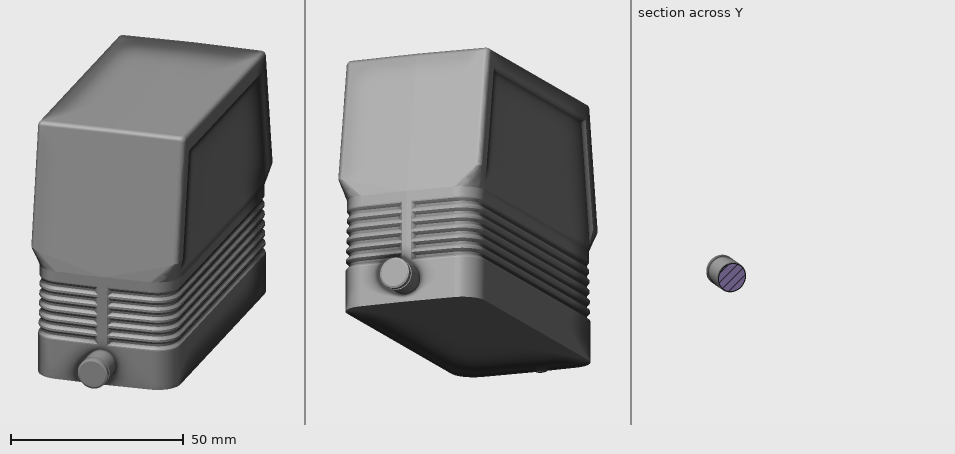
import cadquery as cq
import math

base_half_width = 21.5
base_half_length = 46.7
corner_radius = 6.9
base_end_tilt = 1.5
base_height = 12.0
collar_inset = 0.3
collar_top = 33.1

groove_count = 6
groove_pitch = 3.0
groove_depth = 1.0
groove_floor_height = 0.7
ridge_tip_height = 0.7
ridge_inset = 0.06
groove_flank_height = (groove_pitch - groove_floor_height - ridge_tip_height) / 2
collar_bottom = base_height + groove_count * groove_pitch

rib_half_width = 1.5
rib_foot_half_width = 2.6

hood_half_width = 22.51
hood_height = 76
hood_end_slope = 10.2
hood_end_tilt = 0.75
roof_tilt = 0.4
hood_edge_radius = 1.5

flare_top = 39.1
flare_end_slope = 7.4

panel_depth = 0.95
panel_top = 70.6
panel_top_half_length = 34.6

peg_diameter = 9.0
peg_end = 55.8
peg_height = 6.5
peg_chamfer_length = 0.2
peg_chamfer_depth = 0.6
peg_groove_depth = 0.2
peg_groove_width = 0.9
peg_groove_start = 1.3
peg_neck_depth = 0.2
peg_neck_length = 0.6


def tan(angle):
    return math.tan(math.radians(angle))


def plan_outline(half_width, half_length, radius, z):
    """Closed wire: straight sides, V-shaped ends, rounded corners."""
    turn = math.radians(90 - base_end_tilt)
    middle = turn / 2
    center_x = half_width - radius
    tangent_x = center_x + radius * math.cos(turn)
    tangent_y = half_length - tangent_x * tan(base_end_tilt)
    center_y = tangent_y - radius * math.sin(turn)
    mid_x = center_x + radius * math.cos(middle)
    mid_y = center_y + radius * math.sin(middle)
    return (
        cq.Workplane("XY", origin=(0, 0, z))
        .moveTo(half_width, -center_y)
        .lineTo(half_width, center_y)
        .threePointArc((mid_x, mid_y), (tangent_x, tangent_y))
        .lineTo(0, half_length)
        .lineTo(-tangent_x, tangent_y)
        .threePointArc((-mid_x, mid_y), (-half_width, center_y))
        .lineTo(-half_width, -center_y)
        .threePointArc((-mid_x, -mid_y), (-tangent_x, -tangent_y))
        .lineTo(0, -half_length)
        .lineTo(tangent_x, -tangent_y)
        .threePointArc((mid_x, -mid_y), (half_width, -center_y))
        .close()
        .val()
    )


def inset_outline(inset, z, radius):
    return plan_outline(base_half_width - inset, base_half_length - inset, radius, z)


def ruled_solid(wires):
    return cq.Workplane(cq.Solid.makeLoft(wires, True))


def draft_inset(z):
    """Inward lean at height z of the drafted faces between base and collar top."""
    return collar_inset * (z - base_height) / (collar_top - base_height)


def ridge_tip_outline(z):
    return inset_outline(ridge_inset + draft_inset(z), z, corner_radius)


def make_lower_body():
    floor_radius = corner_radius - groove_depth
    wires = [inset_outline(0, 0, corner_radius), inset_outline(0, base_height, corner_radius)]
    for i in range(groove_count):
        groove_start = base_height + i * groove_pitch + ridge_tip_height / 2
        floor_start = groove_start + groove_flank_height
        floor_end = floor_start + groove_floor_height
        wires.append(ridge_tip_outline(groove_start))
        wires.append(inset_outline(groove_depth, floor_start, floor_radius))
        wires.append(inset_outline(groove_depth, floor_end, floor_radius))
        wires.append(ridge_tip_outline(floor_end + groove_flank_height))
    wires.append(inset_outline(draft_inset(collar_bottom), collar_bottom, corner_radius))
    wires.append(inset_outline(collar_inset, collar_top, corner_radius))
    return ruled_solid(wires)


def rib_outline(inset, z):
    """Rib section at the +Y end, flared where it meets the groove floors."""
    crest_y = base_half_length - inset
    shoulder_y = crest_y - rib_half_width * tan(base_end_tilt)
    foot_y = base_half_length - groove_depth - rib_foot_half_width * tan(base_end_tilt)
    root_y = base_half_length - corner_radius
    return (
        cq.Workplane("XY", origin=(0, 0, z))
        .moveTo(0, crest_y)
        .lineTo(rib_half_width, shoulder_y)
        .lineTo(rib_foot_half_width, foot_y)
        .lineTo(rib_foot_half_width, root_y)
        .lineTo(-rib_foot_half_width, root_y)
        .lineTo(-rib_foot_half_width, foot_y)
        .lineTo(-rib_half_width, shoulder_y)
        .close()
        .val()
    )


def make_end_rib():
    return ruled_solid(
        [rib_outline(0, base_height), rib_outline(draft_inset(collar_bottom), collar_bottom)]
    )


def hood_half_length(z):
    """Half length of the hood on its centre plane at height z."""
    return base_half_length - collar_inset - (z - collar_top) * tan(hood_end_slope)


def hood_outline(z):
    crest_y = hood_half_length(z)
    corner_y = crest_y - hood_half_width * tan(hood_end_tilt)
    return (
        cq.Workplane("XY", origin=(0, 0, z))
        .moveTo(0, crest_y)
        .lineTo(hood_half_width, corner_y)
        .lineTo(hood_half_width, -corner_y)
        .lineTo(0, -crest_y)
        .lineTo(-hood_half_width, -corner_y)
        .lineTo(-hood_half_width, corner_y)
        .close()
        .val()
    )


def make_hood():
    eaves = hood_height - hood_half_width * tan(roof_tilt)
    hood = ruled_solid([hood_outline(collar_top), hood_outline(hood_height)])
    roof_limit = (
        cq.Workplane("XZ")
        .moveTo(0, hood_height)
        .lineTo(hood_half_width, eaves)
        .lineTo(hood_half_width, 0)
        .lineTo(-hood_half_width, 0)
        .lineTo(-hood_half_width, eaves)
        .close()
        .extrude(base_half_length, both=True)
    )
    hood = hood.intersect(roof_limit)
    ridge_zone = (hood_edge_radius, base_half_length, 2 * hood_height)
    centre_ridges = cq.selectors.BoxSelector(tuple(-size for size in ridge_zone), ridge_zone)
    rounded_edges = cq.selectors.SubtractSelector(cq.StringSyntaxSelector("not <Z"), centre_ridges)
    return hood.edges(rounded_edges).fillet(hood_edge_radius)


def make_flare_limit():
    """Envelope that tapers the hood down to the rounded collar; it is open above the flare."""
    flare_half_length = base_half_length - collar_inset - (flare_top - collar_top) * tan(flare_end_slope)
    flare = ruled_solid(
        [
            inset_outline(collar_inset, collar_top, corner_radius),
            plan_outline(hood_half_width, flare_half_length, hood_edge_radius, flare_top),
        ]
    )
    above = (
        cq.Workplane("XY", origin=(0, 0, flare_top))
        .rect(2 * hood_half_width, 2 * base_half_length)
        .extrude(hood_height - flare_top)
    )
    return flare.union(above)


def panel_outline(inset, x):
    top_z = panel_top - inset
    top_y = panel_top_half_length - inset
    bottom_z = collar_top + inset
    bottom_y = top_y + (top_z - bottom_z) * tan(hood_end_slope)
    return (
        cq.Workplane("YZ", origin=(x, 0, 0))
        .polyline([(-bottom_y, bottom_z), (bottom_y, bottom_z), (top_y, top_z), (-top_y, top_z)])
        .close()
        .val()
    )


def make_panel_pocket(side):
    """Sunken panel with 45 degree walls; its floor runs out through the flare below."""
    floor_x = side * (hood_half_width - panel_depth)
    return ruled_solid([panel_outline(0, side * hood_half_width), panel_outline(panel_depth, floor_x)])


def make_peg():
    """Peg on the +Y end, revolved about its own axis; it starts inside the body."""
    radius = peg_diameter / 2
    groove_outer = peg_end - peg_groove_start
    groove_inner = groove_outer - peg_groove_width
    profile = [
        (0, base_half_length - corner_radius),
        (radius - peg_neck_depth, base_half_length - corner_radius),
        (radius - peg_neck_depth, base_half_length + peg_neck_length),
        (radius, base_half_length + peg_neck_length),
        (radius, groove_inner),
        (radius - peg_groove_depth, groove_inner),
        (radius - peg_groove_depth, groove_outer),
        (radius, groove_outer),
        (radius, peg_end - peg_chamfer_length),
        (radius - peg_chamfer_depth, peg_end),
        (0, peg_end),
    ]
    peg = cq.Workplane("XY").polyline(profile).close().revolve(360, (0, 0, 0), (0, 1, 0))
    return peg.translate((0, 0, peg_height))


hood = make_hood().intersect(make_flare_limit())
for side in (-1, 1):
    hood = hood.cut(make_panel_pocket(side))

result = make_lower_body().union(hood)
for end_feature in (make_end_rib(), make_peg()):
    result = result.union(end_feature).union(end_feature.mirror("XZ"))